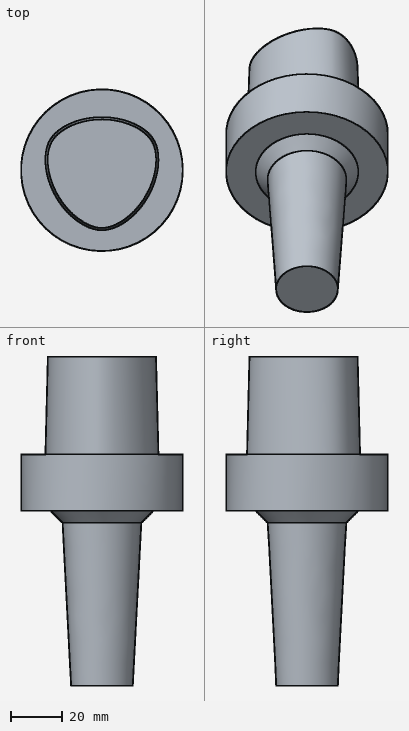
import cadquery as cq
import math

total_length = 128.0
flange_diameter = 63.0
flange_thickness = 22.0

shank_length = 38.0
shank_base_radius = 22.0
shank_taper = 0.05
shank_top_radius = shank_base_radius - shank_taper * shank_length / 2
lobe_height = 1.35
lobe_count = 3
outline_points = 48

nose_tip_diameter = 24.0
nose_half_angle = 3.0
collar_height = 4.6
nose_length = total_length - shank_length - flange_thickness - collar_height
nose_tip_radius = nose_tip_diameter / 2
nose_top_radius = nose_tip_radius + nose_length * math.tan(math.radians(nose_half_angle))
collar_top_radius = nose_top_radius + collar_height

flange_bottom = -flange_thickness
nose_top = flange_bottom - collar_height
nose_tip = nose_top - nose_length


def lobed_point(mean_radius, angle):
    """Point on a constant-width trilobe, with one lobe pointing to -Y at angle zero."""
    support = mean_radius + lobe_height * math.cos(lobe_count * angle)
    slope = -lobe_count * lobe_height * math.sin(lobe_count * angle)
    along_lobe = support * math.cos(angle) - slope * math.sin(angle)
    across_lobe = support * math.sin(angle) + slope * math.cos(angle)
    return (across_lobe, -along_lobe)


def lobed_outline(mean_radius):
    step = 2 * math.pi / outline_points
    return [lobed_point(mean_radius, i * step) for i in range(outline_points)]


def make_shank():
    return (
        cq.Workplane("XY")
        .spline(lobed_outline(shank_base_radius), periodic=True)
        .close()
        .workplane(offset=shank_length)
        .spline(lobed_outline(shank_top_radius), periodic=True)
        .close()
        .loft(ruled=True)
    )


def make_flange_and_nose():
    """Flange, collar and nose turned as one profile about Z."""
    return (
        cq.Workplane("XZ")
        .moveTo(0, 0)
        .lineTo(flange_diameter / 2, 0)
        .lineTo(flange_diameter / 2, flange_bottom)
        .lineTo(collar_top_radius, flange_bottom)
        .lineTo(nose_top_radius, nose_top)
        .lineTo(nose_tip_radius, nose_tip)
        .lineTo(0, nose_tip)
        .close()
        .revolve(360, (0, 0, 0), (0, 1, 0))
    )


result = make_flange_and_nose().union(make_shank())